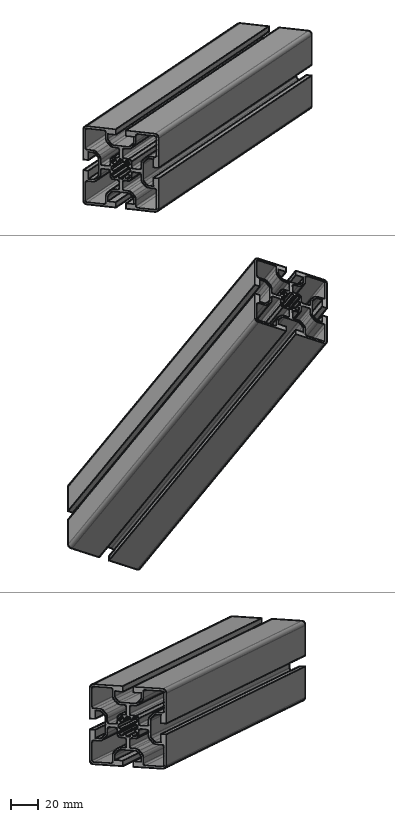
import cadquery as cq
import math

length = 300.0
width = 60.0
skin = 1.8
wall = 1.65
outer_radius = 3.0
root_radius = 1.5

slot_opening = 8.0
slot_inner_width = 20.7
slot_depth = 12.3
lip_thickness = 4.2
slot_chamfer = 3.5
slot_blend_radius = 2.7

core_width = 17.0
core_corner_radius = 10.8
core_wall = 1.5
core_corner_wall = 1.8
web_thickness = 2.7
bore_radius = 6.0
groove_reach = 7.5
groove_outer_width = 2.0
groove_inner_width = 4.8
tooth_tip = (3.0, 5.0)
tooth_root_offset = 4.2

half_width = width / 2
skin_inside = half_width - skin
slot_floor = half_width - slot_depth
lip_inside = half_width - lip_thickness
slot_half = slot_inner_width / 2
opening_half = slot_opening / 2
core_half = core_width / 2
core_inside = core_half - core_wall
web_half = web_thickness / 2
slot_wall_outside = slot_half + wall
slot_floor_back = slot_floor - wall
back_chamfer = slot_chamfer + wall * (2 - math.sqrt(2))
back_blend_radius = slot_blend_radius + wall


def rounded_prism(corners):
    """Extrude a closed outline of (x, z, radius) corners, each rounded by a tangent arc."""
    outline = cq.Workplane("XZ")
    for i, (x, z, radius) in enumerate(corners):
        corner = cq.Vector(x, z)
        before = cq.Vector(*corners[i - 1][:2])
        after = cq.Vector(*corners[(i + 1) % len(corners)][:2])
        arrive = (corner - before).normalized()
        leave = (after - corner).normalized()
        half_turn = arrive.getAngle(leave) / 2
        tangent_length = radius * math.tan(half_turn)
        start = corner - arrive * tangent_length
        outline = outline.moveTo(start.x, start.y) if i == 0 else outline.lineTo(start.x, start.y)
        if radius > 0:
            arc_inset = radius / math.cos(half_turn) - radius
            middle = corner + (leave - arrive).normalized() * arc_inset
            end = corner + leave * tangent_length
            outline = outline.threePointArc((middle.x, middle.y), (end.x, end.y))
    return outline.close().extrude(length / 2, both=True)


def round_bar(radius):
    """Full-length cylinder on the profile axis."""
    return cq.Workplane("XZ").circle(radius).extrude(length / 2, both=True)


def diagonal_loop(half_outline):
    """Complete a loop whose first and last corners lie on the x = z diagonal."""
    mirrored = [(z, x, radius) for x, z, radius in reversed(half_outline[1:-1])]
    return half_outline + mirrored


def symmetric_loop(half_outline):
    """Complete a loop that is symmetric about x = 0."""
    mirrored = [(-x, z, radius) for x, z, radius in reversed(half_outline)]
    return half_outline + mirrored


corner_chamber = rounded_prism(diagonal_loop([
    (core_half, core_half, 0),
    (web_half, core_half, root_radius),
    (web_half, slot_floor_back, root_radius),
    (slot_wall_outside - back_chamfer, slot_floor_back, back_blend_radius),
    (slot_wall_outside, slot_floor_back + back_chamfer, back_blend_radius),
    (slot_wall_outside, skin_inside, root_radius),
    (skin_inside, skin_inside, outer_radius - skin),
]))

core_bar = cq.Workplane("XY").box(core_width, length, core_width)
core_corners = core_bar.cut(round_bar(core_corner_radius))

t_slot = rounded_prism(symmetric_loop([
    (opening_half, half_width, 0),
    (opening_half, lip_inside, 0),
    (slot_half, lip_inside, 0),
    (slot_half, slot_floor + slot_chamfer, slot_blend_radius),
    (slot_half - slot_chamfer, slot_floor, slot_blend_radius),
]))

bore = round_bar(bore_radius)

corner_pocket = rounded_prism(diagonal_loop([
    (0, 0, 0),
    (*tooth_tip, 0),
    (tooth_root_offset, core_inside, 0),
    (core_inside, core_inside, 0),
])).intersect(round_bar(core_corner_radius - core_corner_wall))

side_groove = rounded_prism(symmetric_loop([
    (groove_inner_width / 2, 0, 0),
    (groove_inner_width / 2, tooth_tip[1], 0),
    (groove_outer_width / 2, groove_reach, 0),
]))

result = rounded_prism([
    (half_width, half_width, outer_radius),
    (half_width, -half_width, outer_radius),
    (-half_width, -half_width, outer_radius),
    (-half_width, half_width, outer_radius),
])

for quarter in range(4):
    for cavity in (corner_chamber, t_slot, corner_pocket, side_groove):
        result = result.cut(cavity.rotate((0, 0, 0), (0, 1, 0), 90 * quarter))

result = result.cut(bore).cut(core_corners)